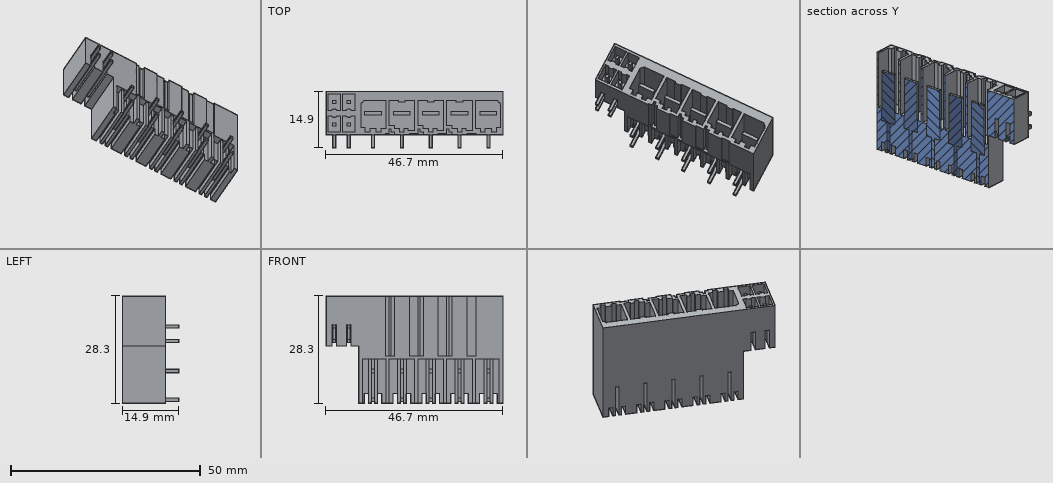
import cadquery as cq

length = 46.7
depth = 11.45
height = 28.3
step_x = 8.6
step_z = 15.1
mid_y = depth / 2

pole_count = 5
pole_pitch = 7.6
first_pole_x = 12.35
pole_xs = [first_pole_x + i * pole_pitch for i in range(pole_count)]
power_floor_z = 12.5

pocket_wall = 0.85
pocket_half = (pole_pitch - pocket_wall) / 2
pocket_outer_half = 3.2
pocket_back = 9.0
pocket_chamfer = 0.85
key_front = 0.75
key_land = 1.75
end_outer_front = 1.9
end_inner_front = 1.65
end_key_inner = 0.85
end_key_outer = 2.15
mid_left_front = 2.47
mid_right_front = 1.15
mid_left_shoulder = -2.0
mid_right_shoulder = 1.7
mid_key_half = 0.6
back_rib_half = 0.9
back_rib_height = 0.37

groove_offset = 1.95
shallow_depth = 0.35
hook_depth = 1.5
hook_shoulder = 0.75
hook_left = 3.4
hook_right = 2.85
first_groove_left = 15.65
last_groove_right = 39.5

recess_top = 11.65
recess_depth = 1.75
recess_outer_half = 2.8
rib_half = 1.2
rib_setback = 0.37
notch_half = 2.3
notch_top = 2.55

blade_width = 4.4
blade_thickness = 0.85
blade_top = 23.35
power_leg_width = 0.85
power_leg_height = 1.0
power_leg_tops = [9.0, 1.45]
stem_top = max(power_leg_tops)
stem_bottom = min(power_leg_tops) - power_leg_height
leg_reach = 3.45

signal_pitch = pole_pitch / 2
first_signal_x = 2.15
signal_xs = [first_signal_x, first_signal_x + signal_pitch]
signal_row_offset = 3.0
signal_pin = 0.85
signal_tip = 27.1
front_leg_top = 20.7
back_leg_top = 16.85
signal_slot = 1.1
signal_slot_top = front_leg_top
signal_pocket_width = 3.25
signal_pocket_near = 0.7
signal_pocket_far = 5.0
signal_floor_z = 21.95
bump_half = 0.75
bump_height = 0.37


def box(x0, x1, y0, y1, z0, z1):
    """A box between two corners."""
    return cq.Workplane("XY").box(x1 - x0, y1 - y0, z1 - z0, centered=False).translate((x0, y0, z0))


def prism(points, z0, z1):
    """A closed XY outline extruded from z0 to z1."""
    return cq.Workplane("XY").workplane(offset=z0).polyline(points).close().extrude(z1 - z0)


def end_pocket():
    """Pocket of the first pole, about its centre: chamfered outer corner and two key slots."""
    points = [
        (-pocket_outer_half, end_outer_front),
        (-end_key_outer, end_outer_front),
        (-end_key_outer, key_front),
        (-end_key_inner, key_front),
        (-end_key_inner, key_land),
        (end_key_inner, key_land),
        (end_key_inner, key_front),
        (end_key_outer, key_front),
        (end_key_outer, end_inner_front),
        (pocket_half, end_inner_front),
        (pocket_half, pocket_back),
        (pocket_chamfer - pocket_outer_half, pocket_back),
        (-pocket_outer_half, pocket_back - pocket_chamfer),
    ]
    return prism(points, power_floor_z, height)


def middle_pocket():
    """Pocket of an inner pole, about its centre: one key slot and a rib on the back wall."""
    rib_face = pocket_back - back_rib_height
    points = [
        (-pocket_half, mid_left_front),
        (mid_left_shoulder, mid_left_front),
        (mid_left_shoulder, key_land),
        (-mid_key_half, key_land),
        (-mid_key_half, key_front),
        (mid_key_half, key_front),
        (mid_key_half, key_land),
        (mid_right_shoulder, key_land),
        (mid_right_shoulder, mid_right_front),
        (pocket_half, mid_right_front),
        (pocket_half, pocket_back),
        (back_rib_half, pocket_back),
        (back_rib_half, rib_face),
        (-back_rib_half, rib_face),
        (-back_rib_half, pocket_back),
        (-pocket_half, pocket_back),
    ]
    return prism(points, power_floor_z, height)


def hooked_groove(left, next_pole_x):
    """Groove with a shallow stretch starting at `left` and a deep hook in front of the next pole."""
    hook_start = next_pole_x - hook_left
    hook_end = next_pole_x - hook_right
    right = next_pole_x - groove_offset
    points = [
        (left, 0),
        (left, shallow_depth),
        (hook_start, shallow_depth),
        (hook_start, hook_depth),
        (hook_end, hook_depth),
        (hook_end, hook_shoulder),
        (right, hook_shoulder),
        (right, 0),
    ]
    return prism(points, power_floor_z, height)


def solder_recess(left, right):
    """Recess below a pole, about its centre, with two ribs left standing and two bottom notches."""
    recess = box(left, right, 0, recess_depth, 0, recess_top)
    ribs = box(-rib_half, rib_half, rib_setback, recess_depth, 0, recess_top)
    notches = box(-notch_half, notch_half, 0, depth, 0, notch_top)
    notches = notches.cut(box(-rib_half, rib_half, 0, depth, 0, notch_top))
    leg_gap = box(-power_leg_width / 2, power_leg_width / 2, 0, recess_depth, 0, recess_top)
    leg_slot = box(-power_leg_width / 2, power_leg_width / 2, 0, depth, 0, stem_top)
    return recess.cut(ribs).union(notches).union(leg_gap).union(leg_slot)


def signal_pocket():
    """Front-row signal pocket, about its column, with a rounded bump on the centre wall."""
    half = signal_pocket_width / 2
    return (
        cq.Workplane("XY")
        .workplane(offset=signal_floor_z)
        .moveTo(-half, signal_pocket_near)
        .lineTo(half, signal_pocket_near)
        .lineTo(half, signal_pocket_far)
        .lineTo(bump_half, signal_pocket_far)
        .threePointArc((0, signal_pocket_far - bump_height), (-bump_half, signal_pocket_far))
        .lineTo(-half, signal_pocket_far)
        .close()
        .extrude(height - signal_floor_z)
    )


def make_power_contact(x):
    """Flat blade on a vertical stem with two solder legs."""
    half_thick = blade_thickness / 2
    half_leg = power_leg_width / 2
    blade = box(
        x - blade_width / 2, x + blade_width / 2,
        mid_y - half_thick, mid_y + half_thick,
        stem_top, blade_top,
    )
    contact = blade.union(
        box(x - half_leg, x + half_leg, mid_y - half_thick, mid_y + half_thick, stem_bottom, stem_top)
    )
    for top in power_leg_tops:
        contact = contact.union(
            box(x - half_leg, x + half_leg, -leg_reach, mid_y, top - power_leg_height, top)
        )
    return contact


def make_signal_pin(x, y, leg_top):
    """Square pin bent at a right angle toward the terminal face."""
    half = signal_pin / 2
    upright = box(x - half, x + half, y - half, y + half, leg_top - signal_pin, signal_tip)
    leg = box(x - half, x + half, -leg_reach, y, leg_top - signal_pin, leg_top)
    return upright.union(leg)


def make_housing(contacts):
    """Stepped block with mating pockets, coding grooves, solder recesses and contact passages."""
    body = box(0, length, 0, depth, 0, height)
    body = body.cut(box(0, step_x, 0, depth, 0, step_z))

    body = body.cut(end_pocket().translate((pole_xs[0], 0, 0)))
    for x in pole_xs[1:-1]:
        body = body.cut(middle_pocket().translate((x, 0, 0)))
    body = body.cut(end_pocket().mirror("YZ").translate((pole_xs[-1], 0, 0)))

    groove_lefts = [first_groove_left] + [x + groove_offset for x in pole_xs[1:-1]]
    for left, next_x in zip(groove_lefts[:-1], pole_xs[1:-1]):
        body = body.cut(hooked_groove(left, next_x))
    body = body.cut(box(groove_lefts[-1], last_groove_right, 0, shallow_depth, power_floor_z, height))

    for x in pole_xs:
        left = recess_outer_half if x == pole_xs[0] else pocket_half
        right = recess_outer_half if x == pole_xs[-1] else pocket_half
        body = body.cut(solder_recess(-left, right).translate((x, 0, 0)))

    for x in signal_xs:
        pocket = signal_pocket().translate((x, 0, 0))
        body = body.cut(pocket).cut(pocket.mirror("XZ", (0, mid_y, 0)))
        body = body.cut(box(x - signal_slot / 2, x + signal_slot / 2, 0, depth, 0, signal_slot_top))

    for contact in contacts:
        body = body.cut(contact)
    return body


power_contacts = [make_power_contact(x) for x in pole_xs]
signal_pins = []
for column_x in signal_xs:
    signal_pins.append(make_signal_pin(column_x, mid_y - signal_row_offset, front_leg_top))
    signal_pins.append(make_signal_pin(column_x, mid_y + signal_row_offset, back_leg_top))
housing = make_housing(power_contacts + signal_pins)

bodies = [housing] + power_contacts + signal_pins
result = cq.Compound.makeCompound([body.solids().val() for body in bodies])